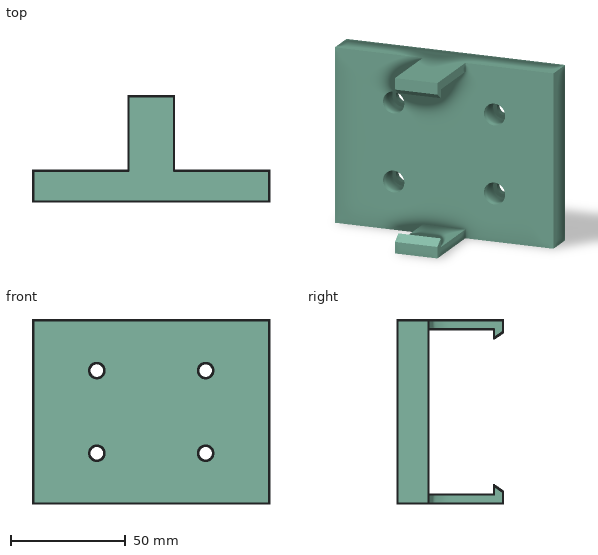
import cadquery as cq

plate_width = 103.0
plate_height = 80.0
plate_thickness = 13.6

total_depth = 46.0
arm_width = 20.0
arm_thickness = 4.0

hook_length = 4.0
hook_height = 4.0
hook_tip_height = 1.2

hole_diameter = 6.5
hole_spacing_x = 47.5
hole_spacing_z = 36.0
bore_diameter = 10.0
bore_depth = 10.6


def make_plate():
    plate = cq.Workplane("XY").box(
        plate_width, plate_thickness, plate_height, centered=(True, False, True)
    )
    front = cq.Workplane("XZ")
    holes = (
        front.rarray(hole_spacing_x, hole_spacing_z, 2, 2)
        .circle(hole_diameter / 2)
        .extrude(-plate_thickness)
    )
    bores = (
        front.workplane(offset=-plate_thickness)
        .rarray(hole_spacing_x, hole_spacing_z, 2, 2)
        .circle(bore_diameter / 2)
        .extrude(bore_depth)
    )
    return plate.cut(holes).cut(bores)


def make_top_arm():
    outer_z = plate_height / 2
    inner_z = outer_z - arm_thickness
    hook_y = total_depth - hook_length
    profile = [
        (plate_thickness, outer_z),
        (total_depth, outer_z),
        (total_depth, inner_z - hook_tip_height),
        (hook_y, inner_z - hook_height),
        (hook_y, inner_z),
        (plate_thickness, inner_z),
    ]
    return cq.Workplane("YZ").polyline(profile).close().extrude(arm_width / 2, both=True)


top_arm = make_top_arm()
bottom_arm = top_arm.mirror("XY")
result = make_plate().union(top_arm).union(bottom_arm)